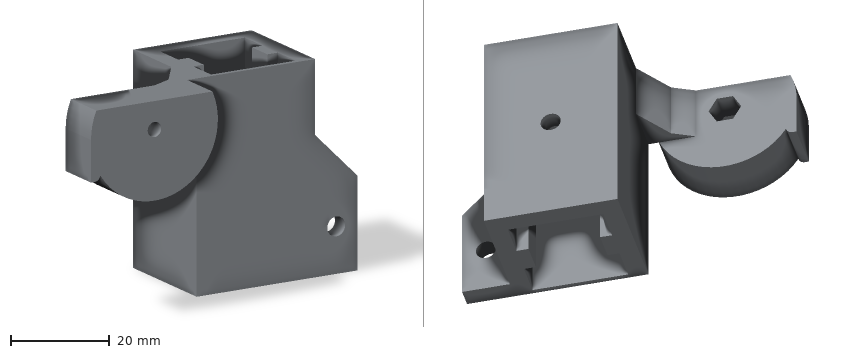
import cadquery as cq
import math

BODY_X = 25.0
BODY_Y = 28.0
BODY_Z = 46.0
BODY_WALL = 4.0
CAVITY_SIDE = 20.0
RIB_WIDTH = 6.0
RIB_HEIGHT = 2.5
SCREW_DIAMETER = 4.2

TAB_LENGTH = 10.0
TAB_THICKNESS = 4.0
TAB_OUTER_HEIGHT = 20.0
TAB_INNER_HEIGHT = TAB_OUTER_HEIGHT + TAB_LENGTH
TAB_HOLE_Z = 10.0

ARM_THICKNESS = 10.0
ARM_RADIUS = 15.0
PIVOT_Y = -16.0
PIVOT_DROP = 6.0
PIVOT_Z = BODY_Z - PIVOT_DROP
PIVOT_DIAMETER = 3.2
NUT_ACROSS_FLATS = 5.9
NUT_DEPTH = 6.0

ARM_END_Y = PIVOT_Y - ARM_RADIUS
LIP_DROP = 15.0
LIP_BOTTOM_Z = BODY_Z - LIP_DROP
LIP_FLAT = 0.8
LIP_THICKNESS = 2.2
LIP_ROOT_Y = ARM_END_Y + LIP_THICKNESS

WEB_HEIGHT = 12.0
WEB_START_X = 15.0
WEB_KNEE_X = 22.75
WEB_KNEE_Y = -5.3
WEB_END_Y = -10.0


def block(x_start, y_start, z_start, x_size, y_size, z_size):
    """Axis-aligned box placed by its lowest corner."""
    return cq.Workplane("XY").box(x_size, y_size, z_size, centered=False).translate((x_start, y_start, z_start))


def drill_x(x_start, y, z, diameter, length):
    """Cylinder running along +X from x_start."""
    return cq.Workplane("YZ", origin=(x_start, y, z)).circle(diameter / 2).extrude(length)


def make_cavity():
    """Square opening through the body, narrowed by two facing ribs."""
    cavity = block(BODY_WALL, BODY_WALL, 0, CAVITY_SIDE, CAVITY_SIDE, BODY_Z)
    rib_x = BODY_WALL + (CAVITY_SIDE - RIB_WIDTH) / 2
    far_rib_y = BODY_WALL + CAVITY_SIDE - RIB_HEIGHT
    for rib_y in (BODY_WALL, far_rib_y):
        cavity = cavity.cut(block(rib_x, rib_y, 0, RIB_WIDTH, RIB_HEIGHT, BODY_Z))
    return cavity


def make_tab():
    """Flat tab with a sloped top edge and a screw hole."""
    tab_x = BODY_X - TAB_THICKNESS
    tab_end_y = BODY_Y + TAB_LENGTH
    outline = [
        (BODY_Y, 0),
        (tab_end_y, 0),
        (tab_end_y, TAB_OUTER_HEIGHT),
        (BODY_Y, TAB_INNER_HEIGHT),
    ]
    tab = cq.Workplane("YZ", origin=(tab_x, 0, 0)).polyline(outline).close().extrude(TAB_THICKNESS)
    hole_y = BODY_Y + TAB_LENGTH / 2
    return tab.cut(drill_x(tab_x, hole_y, TAB_HOLE_Z, SCREW_DIAMETER, TAB_THICKNESS))


def make_web():
    """Bent wedge that carries the arm, flush with the top of the body."""
    outline = [
        (WEB_START_X, 0),
        (WEB_KNEE_X, WEB_KNEE_Y),
        (BODY_X, WEB_END_Y),
        (BODY_X, 0),
    ]
    web_z = BODY_Z - WEB_HEIGHT
    return cq.Workplane("XY", origin=(0, 0, web_z)).polyline(outline).close().extrude(WEB_HEIGHT)


def make_arm():
    """Disc cut flat at the top, with a squared stop lip at its free end."""
    top_half_width = math.sqrt(ARM_RADIUS**2 - PIVOT_DROP**2)
    lip_root_z = PIVOT_Z - math.sqrt(ARM_RADIUS**2 - (PIVOT_Y - LIP_ROOT_Y) ** 2)
    end_angle = math.asin(PIVOT_DROP / ARM_RADIUS) / 2
    end_mid = (PIVOT_Y - ARM_RADIUS * math.cos(end_angle), PIVOT_Z + ARM_RADIUS * math.sin(end_angle))
    return (
        cq.Workplane("YZ", origin=(BODY_X, 0, 0))
        .moveTo(PIVOT_Y + top_half_width, BODY_Z)
        .lineTo(PIVOT_Y - top_half_width, BODY_Z)
        .threePointArc(end_mid, (ARM_END_Y, PIVOT_Z))
        .lineTo(ARM_END_Y, LIP_BOTTOM_Z)
        .lineTo(ARM_END_Y + LIP_FLAT, LIP_BOTTOM_Z)
        .tangentArcPoint((LIP_ROOT_Y, lip_root_z), relative=False)
        .threePointArc((PIVOT_Y, PIVOT_Z - ARM_RADIUS), (PIVOT_Y + top_half_width, BODY_Z))
        .close()
        .extrude(ARM_THICKNESS)
    )


def make_pivot_cut():
    """Pivot bore through the arm with a hexagonal nut pocket on the body side."""
    across_corners = NUT_ACROSS_FLATS / math.cos(math.pi / 6)
    nut = cq.Workplane("YZ", origin=(BODY_X, PIVOT_Y, PIVOT_Z)).polygon(6, across_corners).extrude(NUT_DEPTH)
    return nut.union(drill_x(BODY_X, PIVOT_Y, PIVOT_Z, PIVOT_DIAMETER, ARM_THICKNESS))


body = block(0, 0, 0, BODY_X, BODY_Y, BODY_Z)
part = body.union(make_tab()).union(make_web()).union(make_arm())
part = part.cut(make_cavity())
part = part.cut(drill_x(0, BODY_Y / 2, BODY_Z / 2, SCREW_DIAMETER, BODY_WALL))
result = part.cut(make_pivot_cut())